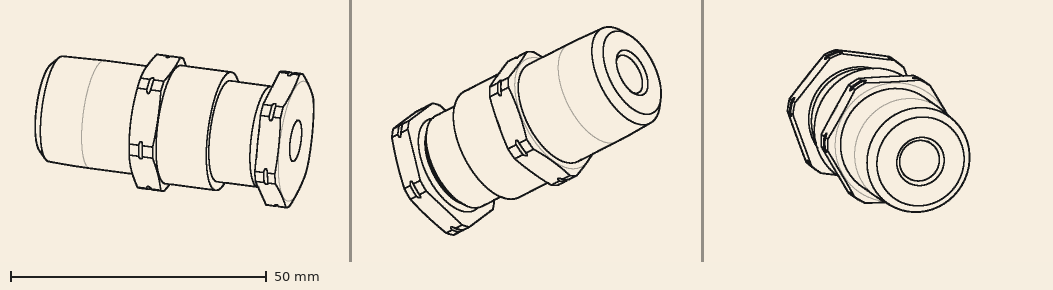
import cadquery as cq
import math

nose_chamfer_end = 1.55
taper_end = 10.0
body_hex_start = 20.15
body_hex_end = 25.6
body_end = 35.9
spigot_chamfer_start = 44.3
neck_start = 45.35
neck_end = 45.6
cap_hex_start = 46.25
total_length = 50.6

taper_radius = 10.4
nose_face_radius = taper_radius - nose_chamfer_end
sleeve_radius = 10.7
body_radius = 11.7
spigot_radius = 9.95
neck_radius = 8.75
bore_radius = 4.05
bore_chamfer = 0.75

across_flats = 24.0
corner_radius = 13.2
chamfer_face_radius = 11.85
nose_side_chamfer = 0.4
cap_side_chamfer = 0.25
cap_hex_turn = 10.0

groove_radius = 0.4
groove_depth = 0.3


def revolve_profile(profile):
    """Revolve a closed XY profile about the X axis."""
    return profile.close().revolve(360, (0, 0, 0), (1, 0, 0))


def make_turned_body():
    taper_length = taper_end - nose_chamfer_end
    taper_drop = sleeve_radius - taper_radius
    taper_arc_radius = (taper_length**2 + taper_drop**2) / (2 * taper_drop)
    taper_mid_x = taper_end - taper_length / 2
    taper_mid_drop = taper_arc_radius - math.sqrt(taper_arc_radius**2 - (taper_length / 2) ** 2)
    profile = (
        cq.Workplane("XY")
        .lineTo(0, nose_face_radius)
        .lineTo(nose_chamfer_end, taper_radius)
        .threePointArc((taper_mid_x, sleeve_radius - taper_mid_drop), (taper_end, sleeve_radius))
        .lineTo(body_hex_start, sleeve_radius)
        .lineTo(body_hex_start, body_radius)
        .lineTo(body_end, body_radius)
        .lineTo(body_end, spigot_radius)
        .lineTo(spigot_chamfer_start, spigot_radius)
        .lineTo(neck_start, neck_radius)
        .lineTo(neck_end, neck_radius)
        .lineTo(cap_hex_start, spigot_radius)
        .lineTo(total_length, spigot_radius)
        .lineTo(total_length, 0)
    )
    return revolve_profile(profile)


def make_corner_groove(x):
    """Ring that only reaches deep enough to notch the hexagon corners."""
    ring_radius = corner_radius - groove_depth + groove_radius
    return cq.Workplane("XY").center(x, ring_radius).circle(groove_radius).revolve(
        360, (0, -ring_radius, 0), (1, -ring_radius, 0)
    )


def make_hex(start, end, turn, chamfer_start):
    """Hexagon with rounded, grooved corners; its corners lie on Y before the turn."""
    across_corners = across_flats / math.cos(math.pi / 6)
    prism = (
        cq.Workplane("YZ", origin=(start, 0, 0))
        .polygon(6, across_corners)
        .extrude(end - start)
        .rotate((0, 0, 0), (1, 0, 0), turn)
    )
    profile = cq.Workplane("XY").moveTo(start, 0)
    if chamfer_start:
        profile = profile.lineTo(start, chamfer_face_radius)
        profile = profile.lineTo(start + nose_side_chamfer, corner_radius)
    else:
        profile = profile.lineTo(start, corner_radius)
    profile = (
        profile.lineTo(end - cap_side_chamfer, corner_radius)
        .lineTo(end, chamfer_face_radius)
        .lineTo(end, 0)
    )
    groove = make_corner_groove((start + end) / 2)
    return prism.intersect(revolve_profile(profile)).cut(groove)


def make_bore():
    profile = (
        cq.Workplane("XY")
        .lineTo(0, bore_radius + bore_chamfer)
        .lineTo(bore_chamfer, bore_radius)
        .lineTo(total_length, bore_radius)
        .lineTo(total_length, 0)
    )
    return revolve_profile(profile)


body_hex = make_hex(body_hex_start, body_hex_end, 0, True)
cap_hex = make_hex(cap_hex_start, total_length, cap_hex_turn, False)
result = make_turned_body().union(body_hex).union(cap_hex).cut(make_bore())